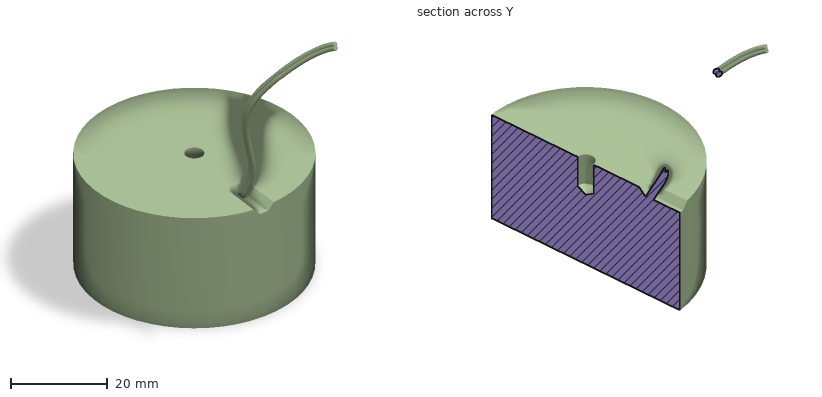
import cadquery as cq
import math

body_diameter = 50.0
body_height = 27.0

hole_diameter = 4.15
hole_depth = 7.55
drill_point_angle = 118.0

slot_width = 5.05
slot_depth = 1.5
slot_floor_width = slot_width - 2 * slot_depth
slot_end_x = 16.7

core_diameter = 1.05
core_spacing = 0.8
cable_embed = 0.75
cable_start = (17.0, 0.0, body_height - slot_depth)
cable_straight_end = (19.9, 0.0, 31.0)
cable_bends = [
    (22.4, -1.7, 39.3),
    (26.2, -4.75, 53.25),
    (33.2, -1.3, 64.35),
    (39.2, 2.65, 71.0),
]
cable_end = (44.4, 4.4, 74.7)
cable_end_direction = (2.0, 0.4, 1.0)


def make_body():
    return cq.Workplane("XY").circle(body_diameter / 2).extrude(body_height)


def make_centre_hole():
    """Half profile of the hole, turned about the Z axis."""
    radius = hole_diameter / 2
    wall_bottom = body_height - hole_depth
    point_depth = radius / math.tan(math.radians(drill_point_angle / 2))
    profile = cq.Workplane("XZ").polyline([
        (0, body_height),
        (radius, body_height),
        (radius, wall_bottom),
        (0, wall_bottom - point_depth),
    ])
    return profile.close().revolve(360, (0, 0, 0), (0, 1, 0))


def make_cable_slot():
    """Tapered channel with a conical inner end."""
    floor_z = body_height - slot_depth
    length = body_diameter / 2 - slot_end_x
    channel = (
        cq.Workplane("YZ", origin=(slot_end_x, 0, 0))
        .polyline([
            (-slot_floor_width / 2, floor_z),
            (slot_floor_width / 2, floor_z),
            (slot_width / 2, body_height),
            (-slot_width / 2, body_height),
        ])
        .close()
        .extrude(length)
    )
    inner_end = (
        cq.Workplane("XY", origin=(slot_end_x, 0, floor_z))
        .circle(slot_floor_width / 2)
        .workplane(offset=slot_depth)
        .circle(slot_width / 2)
        .loft()
    )
    return channel.union(inner_end)


def cable_section(plane):
    """Figure-eight outline; the cores lie side by side along the plane's local X."""
    radius = core_diameter / 2
    half_spacing = core_spacing / 2
    groove = math.sqrt(radius**2 - half_spacing**2)
    outer = half_spacing + radius
    return (
        cq.Workplane(plane)
        .moveTo(0, -groove)
        .threePointArc((outer, 0), (0, groove))
        .threePointArc((-outer, 0), (0, -groove))
        .close()
    )


def make_cable():
    """Straight stretch rising from the slot, then a free curve to the tip."""
    start = cq.Vector(*cable_start)
    bend_start = cq.Vector(*cable_straight_end)
    rise = (bend_start - start).normalized()
    across = cq.Vector(0, 1, 0).cross(rise)
    root = start - rise * cable_embed
    straight_length = (bend_start - root).Length

    root_plane = cq.Plane(root, across, rise)
    straight = cable_section(root_plane).extrude(straight_length)

    curve = cq.Workplane("XY").spline(
        [cable_straight_end, *cable_bends, cable_end],
        tangents=[rise, cq.Vector(*cable_end_direction).normalized()],
    )
    bend_plane = cq.Plane(bend_start, across, rise)
    bend = cable_section(bend_plane).sweep(curve)
    return straight.union(bend)


body = make_body().cut(make_centre_hole()).cut(make_cable_slot())
result = body.union(make_cable())